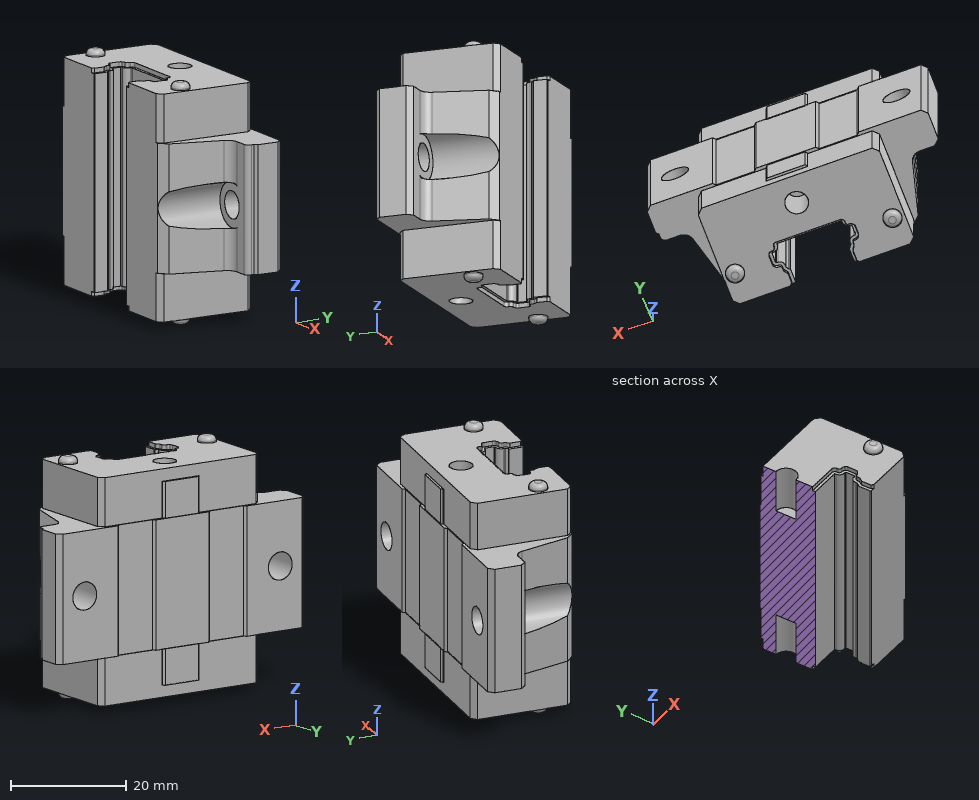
import cadquery as cq
import math


flange_width = 52.0
block_height = 19.5
block_length = 23.2
flange_bottom = 12.5
flange_chamfer = 1.0
root_fillet = 2.0
wall_angle = math.radians(15)
wall_foot_x = 17.75
foot_chamfer = 1.4

step_top = 14.45
step_depth = 0.45
step_fillet = 1.0

groove_inner_x = 6.0
groove_outer_x = 13.05
groove_depth = 0.45

bolt_x = 20.5
bolt_diameter = 5.0
head_diameter = 8.2

body_length = 40.65
cap_width = 33.55
cap_height = 18.9
cap_chamfer = 1.0

strip_length = 36.25
strip_base_width = 7.7
strip_top = 19.35
strip_chamfer = 0.35

race_y = 5.6
channel_top = 7.9
channel_x = 6.0
race_x = 7.4
race_half_height = 1.0
race_corner = 0.15
land_radius = 1.05
lip_x = 5.4
lip_top = 2.75
lip_bevel_x = 5.6
lip_bevel_top = 3.3
lip_chamfer = 0.15
flare = 2.1
seal_gap = 0.55
seal_depth = 0.85

port_diameter = 4.1
port_y = 14.05

screw_x = 14.55
screw_diameter = 3.35
screw_height = 1.22
screw_fillet = 1.0


def extrude_centered(profile, length):
    """Extrude an XY profile symmetrically about Z = 0."""
    return profile.extrude(length / 2, both=True)


def make_center_block():
    half = flange_width / 2
    wall_top_x = wall_foot_x + (flange_bottom - foot_chamfer) * math.tan(wall_angle)
    foot_x = wall_foot_x - foot_chamfer
    step_x = half - step_depth
    profile = cq.Workplane("XY").polyline([
        (-foot_x, 0),
        (foot_x, 0),
        (wall_foot_x, foot_chamfer),
        (wall_top_x, flange_bottom),
        (step_x, flange_bottom),
        (step_x, step_top - step_depth),
        (half, step_top),
        (half, block_height - flange_chamfer),
        (half - flange_chamfer, block_height),
        (-half + flange_chamfer, block_height),
        (-half, block_height - flange_chamfer),
        (-half, flange_bottom + flange_chamfer),
        (-half + flange_chamfer, flange_bottom),
        (-wall_top_x, flange_bottom),
        (-wall_foot_x, foot_chamfer),
    ]).close()
    block = extrude_centered(profile, block_length)
    for x in (-wall_top_x, wall_top_x):
        root = cq.selectors.NearestToPointSelector((x, flange_bottom, 0))
        block = block.edges("|Z").edges(root).fillet(root_fillet)
    step_corner = cq.selectors.NearestToPointSelector((step_x, flange_bottom, 0))
    block = block.edges("|Z").edges(step_corner).fillet(step_fillet)

    for side in (-1, 1):
        groove = cq.Workplane("XY").polyline([
            (side * groove_inner_x, block_height - groove_depth),
            (side * groove_outer_x, block_height - groove_depth),
            (side * (groove_outer_x + groove_depth), block_height),
            (side * (groove_inner_x - groove_depth), block_height),
        ]).close()
        block = block.cut(extrude_centered(groove, block_length))
    return block


def cut_bolt_holes(body):
    bolts = cq.Workplane("XZ").pushPoints([(-bolt_x, 0), (bolt_x, 0)])
    body = body.cut(bolts.circle(bolt_diameter / 2).extrude(-block_height))
    return body.cut(bolts.circle(head_diameter / 2).extrude(-flange_bottom))


def make_end_caps():
    profile = cq.Workplane("XY").center(0, cap_height / 2).rect(cap_width, cap_height)
    return extrude_centered(profile, body_length).edges("|Z").chamfer(cap_chamfer)


def make_strip():
    half = strip_base_width / 2
    profile = cq.Workplane("XY").polyline([
        (-half, cap_height),
        (half, cap_height),
        (half, strip_top - strip_chamfer),
        (half - strip_chamfer, strip_top),
        (-half + strip_chamfer, strip_top),
        (-half, strip_top - strip_chamfer),
    ]).close()
    return extrude_centered(profile, strip_length)


def channel_outline():
    """Closed outline of the rail channel, continued below the underside as a flare."""
    upper = race_y + race_half_height
    lower = race_y - race_half_height
    land_x = channel_x + land_radius
    bulge = land_radius * math.sqrt(0.5)
    return (
        cq.Workplane("XY")
        .moveTo(0, channel_top)
        .lineTo(channel_x, channel_top)
        .lineTo(channel_x, upper + land_radius)
        .threePointArc((land_x - bulge, upper + land_radius - bulge), (land_x, upper))
        .lineTo(race_x - race_corner, upper)
        .lineTo(race_x, upper - race_corner)
        .lineTo(race_x, lower + race_corner)
        .lineTo(race_x - race_corner, lower)
        .lineTo(land_x, lower)
        .threePointArc((land_x - bulge, lower - land_radius + bulge), (channel_x, lower - land_radius))
        .lineTo(channel_x, lip_bevel_top)
        .lineTo(lip_bevel_x, lip_top)
        .lineTo(lip_x, lip_top)
        .lineTo(lip_x, lip_chamfer)
        .lineTo(lip_x + flare, lip_chamfer - flare)
        .lineTo(0, lip_chamfer - flare)
        .mirrorY()
    )


def cut_channel(body):
    body = body.cut(extrude_centered(channel_outline(), body_length))
    seal = channel_outline().offset2D(seal_gap).extrude(seal_depth)
    for z in (-body_length / 2, body_length / 2 - seal_depth):
        body = body.cut(seal.translate((0, 0, z)))
    return body


def cut_ports(body):
    port_depth = (body_length - block_length) / 2
    port = cq.Workplane("XY").center(0, port_y).circle(port_diameter / 2).extrude(port_depth)
    for z in (-body_length / 2, block_length / 2):
        body = body.cut(port.translate((0, 0, z)))
    return body


def add_screws(body):
    head = (
        cq.Workplane("XY", origin=(0, 0, body_length / 2))
        .pushPoints([(-screw_x, race_y), (screw_x, race_y)])
        .circle(screw_diameter / 2)
        .extrude(screw_height)
        .faces(">Z").edges().fillet(screw_fillet)
    )
    return body.union(head).union(head.mirror("XY"))


result = make_center_block().union(make_end_caps()).union(make_strip())
result = cut_bolt_holes(result)
result = cut_channel(result)
result = cut_ports(result)
result = add_screws(result)